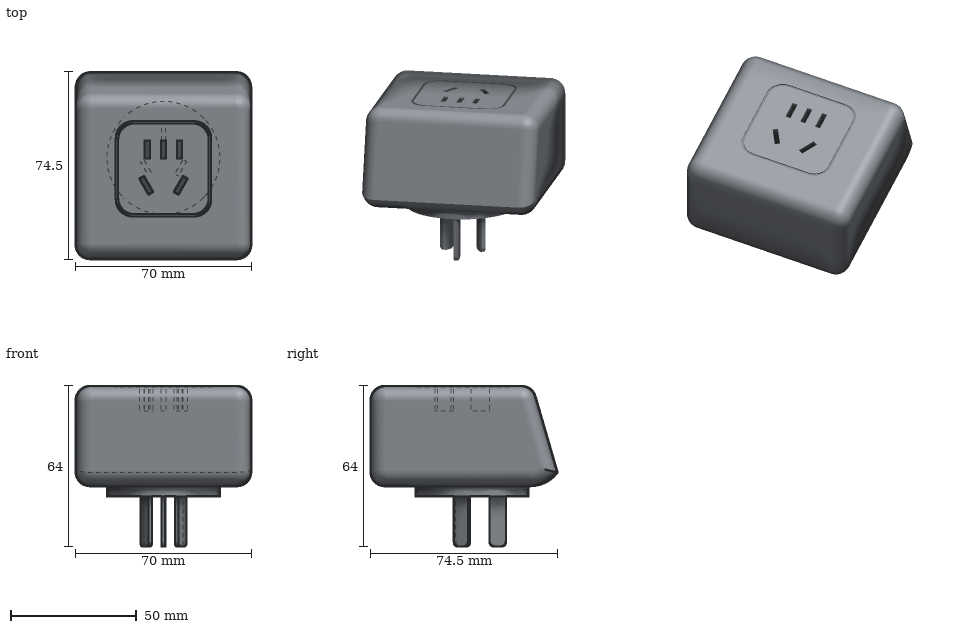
import cadquery as cq
import math

WIDTH = 70.0
HEIGHT = 40.0
TOP_DEPTH = 64.5
OVERALL_DEPTH = 74.5
REAR_LEAN_DEG = 16.2
UNDERSIDE_ARC_RADIUS = 14.0
EDGE_RADIUS = 6.0
TRIM_MARGIN = 20.0

PANEL_FROM_FRONT = 36.0
PANEL_SIZE = 36.0
PANEL_CORNER_RADIUS = 6.0
GROOVE_WIDTH = 1.0
GROOVE_DEPTH = 0.5

EARTH_OFFSET = 10.3
LIVE_PITCH_RADIUS = 7.92
LIVE_ANGLE_DEG = 30.0

SOCKET_FROM_FRONT = 33.4
SLOT_WIDTH = 2.1
SLOT_LENGTH = 7.3
SLOT_DEPTH = 10.0
FLAT_SLOT_OFFSET = 6.4

BASE_FROM_FRONT = 40.4
BASE_DIAMETER = 45.0
BASE_HEIGHT = 4.0
PIN_LENGTH = 20.0
PIN_WIDTH = 6.6
PIN_THICKNESS = 1.6
PIN_TIP_RADIUS = 2.0

FRONT_Y = -BASE_FROM_FRONT
TOP_REAR_Y = FRONT_Y + TOP_DEPTH
LOW_REAR_Y = FRONT_Y + OVERALL_DEPTH
PANEL_Y = FRONT_Y + PANEL_FROM_FRONT
SOCKET_Y = FRONT_Y + SOCKET_FROM_FRONT

LIVE_X = LIVE_PITCH_RADIUS * math.cos(math.radians(LIVE_ANGLE_DEG))
LIVE_Y = -LIVE_PITCH_RADIUS * math.sin(math.radians(LIVE_ANGLE_DEG))


def contact_places(centre_y):
    """Return (x, y, rotation) of the earth contact and the two angled ones."""
    return [
        (0, centre_y + EARTH_OFFSET, 0),
        (-LIVE_X, centre_y + LIVE_Y, LIVE_ANGLE_DEG),
        (LIVE_X, centre_y + LIVE_Y, -LIVE_ANGLE_DEG),
    ]


def make_leaning_block():
    """Block with the leaning rear face, rounded everywhere except its low underside."""
    lean = math.tan(math.radians(REAR_LEAN_DEG))
    bottom_z = -TRIM_MARGIN
    return (
        cq.Workplane("YZ")
        .moveTo(FRONT_Y, bottom_z)
        .lineTo(FRONT_Y, HEIGHT)
        .lineTo(TOP_REAR_Y, HEIGHT)
        .lineTo(TOP_REAR_Y + (HEIGHT - bottom_z) * lean, bottom_z)
        .close()
        .extrude(WIDTH / 2, both=True)
        .edges("not <Z")
        .fillet(EDGE_RADIUS)
    )


def make_swept_bottom_block():
    """Block whose underside curves up at the rear, rounded everywhere except its high top."""
    low_rear_z = HEIGHT - (LOW_REAR_Y - TOP_REAR_Y) / math.tan(math.radians(REAR_LEAN_DEG))
    arc_run = math.sqrt(UNDERSIDE_ARC_RADIUS**2 - (UNDERSIDE_ARC_RADIUS - low_rear_z) ** 2)
    arc_start_y = LOW_REAR_Y - arc_run
    arc_end_y = arc_start_y + UNDERSIDE_ARC_RADIUS
    top_z = HEIGHT + TRIM_MARGIN
    return (
        cq.Workplane("YZ")
        .moveTo(FRONT_Y, 0)
        .lineTo(arc_start_y, 0)
        .tangentArcPoint((arc_end_y, UNDERSIDE_ARC_RADIUS), relative=False)
        .lineTo(arc_end_y, top_z)
        .lineTo(FRONT_Y, top_z)
        .close()
        .extrude(WIDTH / 2, both=True)
        .faces("<X or >X or <Y")
        .edges("not >Z")
        .fillet(EDGE_RADIUS)
    )


def make_body():
    """Common volume of both blocks, which leaves a sharp lower rear edge."""
    return make_leaning_block().intersect(make_swept_bottom_block())


def rounded_square(size, corner_radius, bottom_z, height):
    """Upright square block with rounded corners, centred on the panel."""
    return (
        cq.Workplane("XY", origin=(0, PANEL_Y, bottom_z))
        .rect(size, size)
        .extrude(height)
        .edges("|Z")
        .fillet(corner_radius)
    )


def make_panel_groove():
    bottom_z = HEIGHT - GROOVE_DEPTH
    outer = rounded_square(
        PANEL_SIZE + 2 * GROOVE_WIDTH, PANEL_CORNER_RADIUS + GROOVE_WIDTH, bottom_z, GROOVE_DEPTH
    )
    return outer.cut(rounded_square(PANEL_SIZE, PANEL_CORNER_RADIUS, bottom_z, GROOVE_DEPTH))


def make_slots():
    """Cutters for the three-contact pattern and the two parallel neighbours."""
    earth_y = SOCKET_Y + EARTH_OFFSET
    places = contact_places(SOCKET_Y)
    places += [(side * FLAT_SLOT_OFFSET, earth_y, 0) for side in (-1, 1)]
    slots = cq.Workplane("XY")
    for x, y, rotation in places:
        slot = (
            cq.Workplane("XY")
            .box(SLOT_WIDTH, SLOT_LENGTH, SLOT_DEPTH, centered=(True, True, False))
            .rotate((0, 0, 0), (0, 0, 1), rotation)
            .translate((x, y, HEIGHT - SLOT_DEPTH))
        )
        slots = slots.union(slot)
    return slots


def make_base():
    return cq.Workplane("XY").circle(BASE_DIAMETER / 2).extrude(-BASE_HEIGHT)


def make_pin(x, y, rotation):
    """Flat blade hanging from the base, with rounded tip corners."""
    return (
        cq.Workplane("XY")
        .rect(PIN_THICKNESS, PIN_WIDTH)
        .extrude(-PIN_LENGTH)
        .edges("|X and <Z")
        .fillet(PIN_TIP_RADIUS)
        .rotate((0, 0, 0), (0, 0, 1), rotation)
        .translate((x, y, -BASE_HEIGHT))
    )


result = make_body().cut(make_panel_groove()).cut(make_slots()).union(make_base())
for place in contact_places(0):
    result = result.union(make_pin(*place))